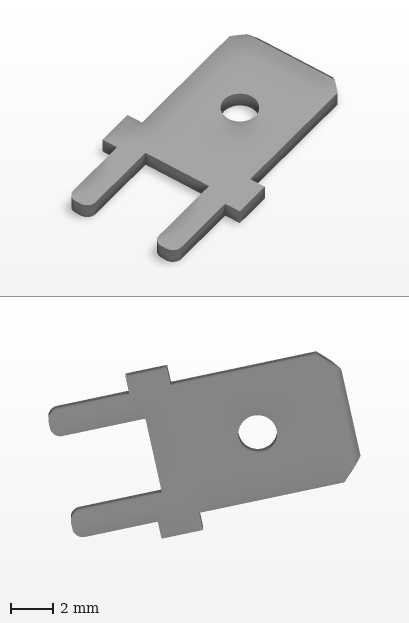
import cadquery as cq

length = 14.0
thickness = 0.8
blade_width = 6.3
shoulder_width = 8.0
shoulder_bottom = 4.0
shoulder_top = 6.0
leg_width = 1.3
slot_depth = 4.5
leg_tip_radius = 0.5
corner_chamfer = 1.0
hole_diameter = 1.82
hole_from_tip = 4.5
bevel = thickness / 2


def plate(width, bottom, top):
    """Rectangular plate centred on X, resting on Z = 0."""
    return (
        cq.Workplane("XY")
        .center(0, (bottom + top) / 2)
        .rect(width, top - bottom)
        .extrude(thickness)
    )


def leg(side):
    """Solder leg with rounded tip corners; side is -1 or 1."""
    overlap = 0.14
    leg_height = slot_depth + overlap
    return (
        cq.Workplane("XY")
        .center(side * (blade_width - leg_width) / 2, leg_height / 2)
        .rect(leg_width, leg_height)
        .extrude(thickness)
        .edges("|Z and <Y")
        .fillet(leg_tip_radius)
    )


def blade():
    """Blade with chamfered corners and a lead-in edge sharpened from both faces."""
    body = plate(blade_width, slot_depth, length)
    body = body.edges("|Z and >Y").chamfer(corner_chamfer)
    sharpened = (
        cq.Workplane("YZ")
        .moveTo(slot_depth, 0)
        .lineTo(length - bevel, 0)
        .lineTo(length, thickness / 2)
        .lineTo(length - bevel, thickness)
        .lineTo(slot_depth, thickness)
        .close()
        .extrude(blade_width / 2, both=True)
    )
    return body.intersect(sharpened)


def shoulder(side):
    """Stop that projects from one side of the blade and leg."""
    shoulder_length = (shoulder_width - blade_width) / 2 + leg_width
    return plate(shoulder_length, shoulder_bottom, shoulder_top).translate(
        (side * (shoulder_width - shoulder_length) / 2, 0, 0)
    )


result = blade()
for side in (-1, 1):
    result = result.union(leg(side)).union(shoulder(side))

hole = (
    cq.Workplane("XY")
    .center(0, length - hole_from_tip)
    .circle(hole_diameter / 2)
    .extrude(thickness)
)
result = result.cut(hole).clean()